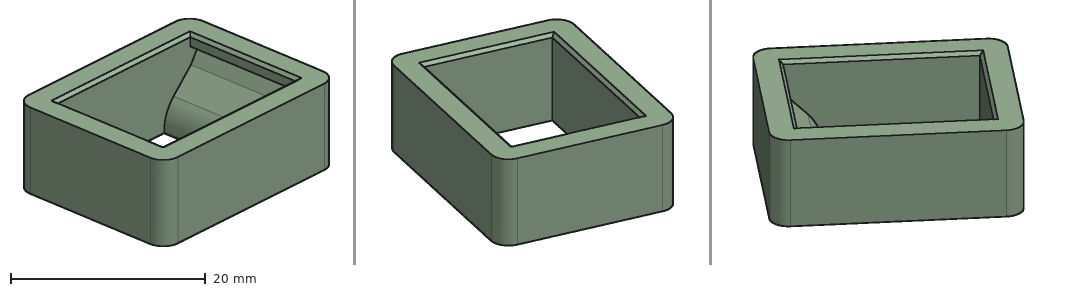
import cadquery as cq
import math

width = 20.7
length = 26.3
height = 10
corner_radius = 2.0

opening_width = 14.73
opening_length = 20.3
rim_chamfer = 0.4

lip_bottom = -1.47
undercut_y = 11.62
bend_y = 10.25
nose_y = 6.15
nose_radius = 5
foot_height = 0.2

ramp_angle = math.radians(45)
foot_top = -height + foot_height
nose_start_y = nose_y + nose_radius * (1 - math.cos(ramp_angle))
nose_start_z = foot_top + nose_radius * math.sin(ramp_angle)
bend_z = nose_start_z + (bend_y - nose_start_y) * math.tan(ramp_angle)


def make_block():
    block = cq.Workplane("XY").box(width, length, height, centered=(True, True, False))
    return block.translate((0, 0, -height)).edges("|Z").fillet(corner_radius)


def make_cavity():
    """Through opening, with the lip and ramp profile along its +Y side."""
    half_length = opening_length / 2
    return (
        cq.Workplane("YZ")
        .moveTo(-half_length, -height)
        .lineTo(nose_y, -height)
        .lineTo(nose_y, foot_top)
        .tangentArcPoint((nose_start_y, nose_start_z), relative=False)
        .lineTo(bend_y, bend_z)
        .lineTo(undercut_y, lip_bottom)
        .lineTo(half_length, lip_bottom)
        .lineTo(half_length, 0)
        .lineTo(-half_length, 0)
        .close()
        .extrude(opening_width / 2, both=True)
    )


def make_rim():
    """Flared cutter that chamfers the top edges of the opening."""
    rim_width = opening_width + 2 * rim_chamfer
    rim_length = opening_length + 2 * rim_chamfer
    return cq.Workplane("XY").rect(rim_width, rim_length).extrude(-rim_chamfer, taper=45)


result = make_block().cut(make_cavity()).cut(make_rim())